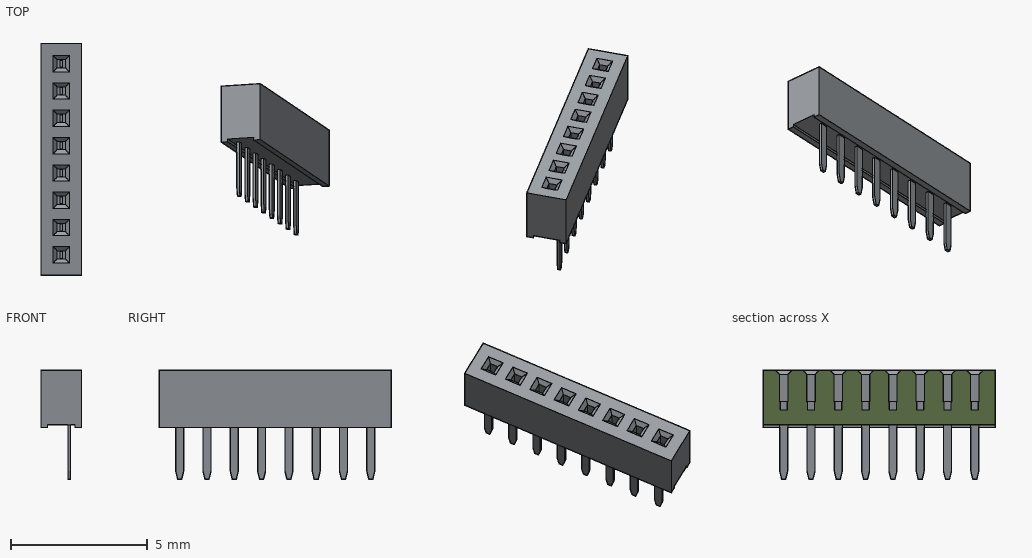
import cadquery as cq

pin_count = 8
pitch = 1.0
housing_width = 1.5
end_margin = 0.25
housing_length = pin_count * pitch + 2 * end_margin
housing_height = 2.1
foot_width = 0.25
foot_height = 0.1

funnel_opening = 0.6
well_size = 0.3
funnel_depth = (funnel_opening - well_size) / 2
well_depth = 1.0

slot_width = 0.1
slot_length = 0.25
slot_depth = 0.3

overall_height = 4.0
pin_offset = 0.29
pin_thickness = 0.1
pin_width = 0.3
pin_tip_width = 0.15
pin_taper_length = 0.3
pin_tip_z = housing_height - overall_height

row_start = -(pin_count - 1) * pitch / 2
row_positions = [row_start + i * pitch for i in range(pin_count)]


def make_housing():
    """Bar with a shallow channel along its underside, leaving a foot on each side."""
    bar = cq.Workplane("XY").box(
        housing_width, housing_length, housing_height, centered=(True, True, False)
    )
    channel = cq.Workplane("XY").box(
        housing_width - 2 * foot_width, housing_length, foot_height, centered=(True, True, False)
    )
    return bar.cut(channel)


def make_socket(y):
    """Volume removed for one socket: funnel, well and contact slot."""
    well_top = housing_height - funnel_depth
    well_floor = well_top - well_depth
    funnel = (
        cq.Workplane("XY", origin=(0, y, housing_height))
        .rect(funnel_opening, funnel_opening)
        .workplane(offset=-funnel_depth)
        .rect(well_size, well_size)
        .loft(ruled=True)
    )
    well = (
        cq.Workplane("XY", origin=(0, y, well_top))
        .rect(well_size, well_size)
        .extrude(-well_depth)
    )
    slot = (
        cq.Workplane("XY", origin=(0, y, well_floor))
        .rect(slot_width, slot_length)
        .extrude(-slot_depth)
    )
    return funnel.union(well).union(slot)


def make_pin(y):
    """Flat pin hanging from the channel roof down to its tapered tip."""
    taper_z = pin_tip_z + pin_taper_length
    return (
        cq.Workplane("YZ", origin=(pin_offset, y, 0))
        .moveTo(-pin_width / 2, foot_height)
        .lineTo(-pin_width / 2, taper_z)
        .lineTo(-pin_tip_width / 2, pin_tip_z)
        .lineTo(pin_tip_width / 2, pin_tip_z)
        .lineTo(pin_width / 2, taper_z)
        .lineTo(pin_width / 2, foot_height)
        .close()
        .extrude(pin_thickness / 2, both=True)
    )


result = make_housing()
for row_y in row_positions:
    result = result.cut(make_socket(row_y)).union(make_pin(row_y))